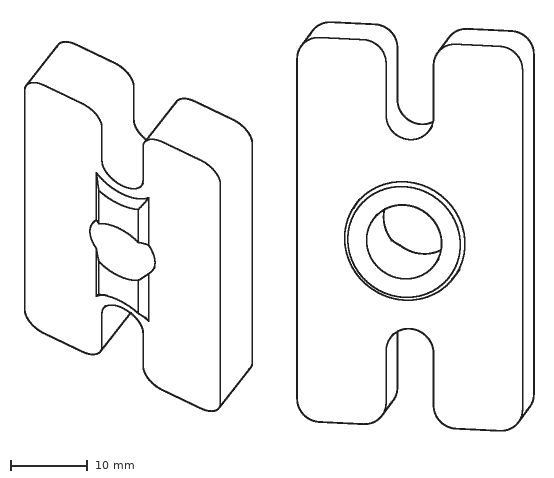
import cadquery as cq

plate_width = 30.0
plate_height = 52.0
plate_thickness = 8.0
corner_radius = 3.0

slot_width = 6.3
slot_depth = 13.2

boss_diameter = 16.0
boss_height = 4.0
boss_chamfer = 0.5
boss_fillet = 1.0

key_width = 8.0
key_height = 1.0
key_end_radius = 5.25
key_end_center_z = 16.35

bore_diameter = 10.0


def make_plate():
    """H-shaped plate with rounded corners and slot mouths."""
    blank = cq.Workplane("XY").box(
        plate_width, plate_thickness, plate_height, centered=(True, False, True)
    )
    slot_radius = slot_width / 2
    slot_center_z = plate_height / 2 - slot_depth + slot_radius
    for side in (1, -1):
        round_end = (
            cq.Workplane("XZ")
            .center(0, side * slot_center_z)
            .circle(slot_radius)
            .extrude(-plate_thickness)
        )
        opening = cq.Workplane("XY").box(
            slot_width, plate_thickness, slot_depth - slot_radius, centered=(True, False, True)
        ).translate((0, 0, side * (plate_height / 2 + slot_center_z) / 2))
        blank = blank.cut(round_end.union(opening))
    end_corners = blank.faces("<Z or >Z").edges("|Y")
    return end_corners.fillet(corner_radius)


def make_boss():
    """Boss with a chamfered rim and a concave fillet at its root."""
    radius = boss_diameter / 2
    tip_y = plate_thickness + boss_height
    return (
        cq.Workplane("XY")
        .moveTo(0, plate_thickness)
        .lineTo(radius + boss_fillet, plate_thickness)
        .radiusArc((radius, plate_thickness + boss_fillet), boss_fillet)
        .lineTo(radius, tip_y - boss_chamfer)
        .lineTo(radius - boss_chamfer, tip_y)
        .lineTo(0, tip_y)
        .close()
        .revolve(360, (0, 0, 0), (0, 1, 0))
    )


def make_key():
    """Sloped-side key whose ends are scooped out by cones around the slots."""
    base_half = key_width / 2
    top_half = base_half - key_height
    key = (
        cq.Workplane("XY")
        .polyline([(-base_half, 0), (-top_half, -key_height), (top_half, -key_height), (base_half, 0)])
        .close()
        .extrude(key_end_center_z, both=True)
    )
    for side in (1, -1):
        scoop = cq.Solid.makeCone(
            key_end_radius,
            key_end_radius + key_height,
            key_height,
            pnt=cq.Vector(0, 0, side * key_end_center_z),
            dir=cq.Vector(0, -1, 0),
        )
        key = key.cut(scoop)
    return key


bore = (
    cq.Workplane("XZ", origin=(0, -key_height, 0))
    .circle(bore_diameter / 2)
    .extrude(-(key_height + plate_thickness + boss_height))
)

result = make_plate().union(make_boss()).union(make_key()).cut(bore)